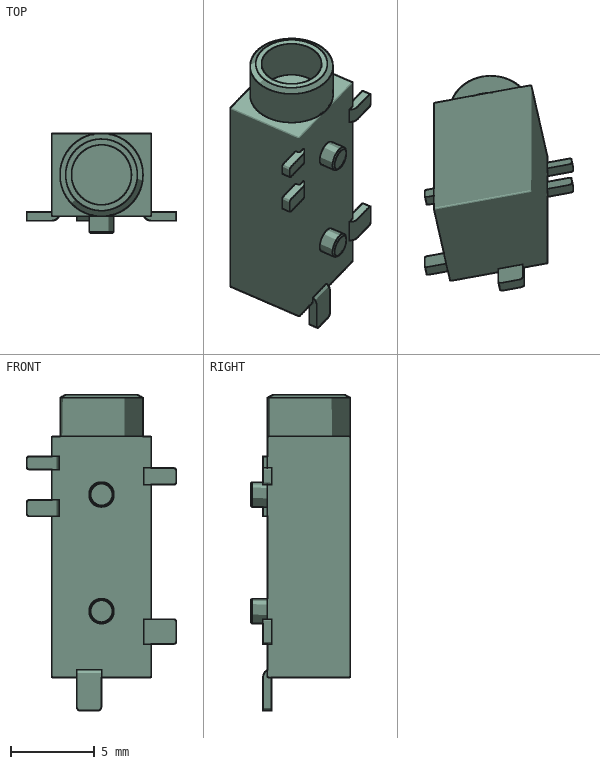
import cadquery as cq

body_width = 6.0
body_depth = 5.0
body_height = 14.5
body_fillet = 0.1

barrel_diameter = body_depth
barrel_height = 2.5
barrel_chamfer_radial = 0.35
barrel_chamfer_axial = 0.19
bore_diameter = 3.61
bore_depth = barrel_height

peg_diameter = 1.5
peg_length = 1.0
peg_chamfer = 0.1
peg_depths_below_top = (3.5, 10.5)

lead_thickness = 0.53
lead_overlap = 0.45
side_lead_reach = 1.5
bottom_lead_reach = 2.0
side_lead_corner = 0.17
bottom_lead_corner = 0.25
left_leads = ((1.2, 2.0), (3.82, 4.8))
right_leads = ((1.9, 2.9), (10.98, 12.48))
bottom_lead_width = 1.5
bottom_lead_left_x = -1.5


def make_body():
    block = cq.Workplane("XY").box(body_width, body_depth, body_height, centered=(True, False, False))
    return block.translate((0, 0, -body_height)).edges().fillet(body_fillet)


def make_barrel():
    """Revolve the barrel about its axis, with a shallow cone at the mouth."""
    radius = barrel_diameter / 2
    profile = (
        cq.Workplane("XZ")
        .moveTo(0, 0)
        .lineTo(radius, 0)
        .lineTo(radius, barrel_height - barrel_chamfer_axial)
        .lineTo(radius - barrel_chamfer_radial, barrel_height)
        .lineTo(0, barrel_height)
        .close()
    )
    return profile.revolve(360, (0, 0, 0), (0, 1, 0)).translate((0, body_depth / 2, 0))


def make_bore():
    bore = cq.Workplane("XY").workplane(offset=barrel_height).circle(bore_diameter / 2).extrude(-bore_depth)
    return bore.translate((0, body_depth / 2, 0))


def make_peg(depth_below_top):
    peg = cq.Workplane("XZ").center(0, -depth_below_top).circle(peg_diameter / 2).extrude(peg_length)
    return peg.faces("<Y").chamfer(peg_chamfer)


def make_lead(reach, width, corner):
    """Lead along +X from a body edge at x = 0, centred on z = 0, with a rounded inner end."""
    half = lead_thickness / 2
    lead = (
        cq.Workplane("XY")
        .moveTo(-lead_overlap, half)
        .lineTo(reach, half)
        .lineTo(reach, -half)
        .lineTo(0, -half)
        .tangentArcPoint((-lead_overlap, 0), relative=False)
        .close()
        .extrude(width / 2, both=True)
    )
    return lead.faces(">X").edges("|Y").fillet(corner)


def make_side_lead(upper, lower):
    lead = make_lead(side_lead_reach, lower - upper, side_lead_corner)
    return lead.translate((body_width / 2, 0, -(upper + lower) / 2))


def make_bottom_lead():
    lead = make_lead(bottom_lead_reach, bottom_lead_width, bottom_lead_corner)
    lead = lead.rotate((0, 0, 0), (0, 1, 0), 90)
    return lead.translate((bottom_lead_left_x + bottom_lead_width / 2, 0, -body_height))


result = make_body().union(make_barrel()).cut(make_bore())
for peg_depth in peg_depths_below_top:
    result = result.union(make_peg(peg_depth))
for upper_edge, lower_edge in right_leads:
    result = result.union(make_side_lead(upper_edge, lower_edge))
for upper_edge, lower_edge in left_leads:
    result = result.union(make_side_lead(upper_edge, lower_edge).mirror("YZ"))
result = result.union(make_bottom_lead())